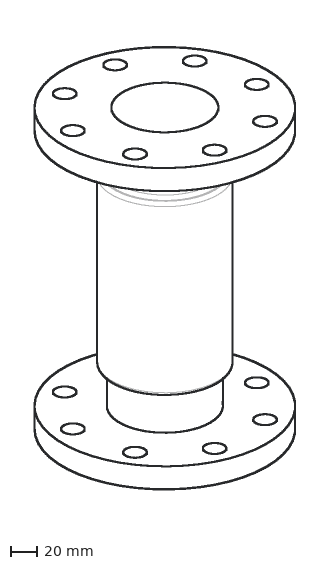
import cadquery as cq
import math

length = 278.0
flange_diameter = 200.0
flange_thickness = 20.0
pipe_diameter = 89.0
bore_diameter = 82.0

sleeve_diameter = 104.0
sleeve_length = 167.0
sleeve_fillet = 3.0

bolt_count = 8
bolt_circle_diameter = 160.0
bolt_hole_diameter = 18.0


def cylinder(diameter, bottom, height):
    """Solid cylinder on the Z axis, starting at the given height."""
    return cq.Workplane("XY").workplane(offset=bottom).circle(diameter / 2).extrude(height)


def sleeved_pipe():
    """Pipe with a sleeve whose shoulders have rounded rims and rounded roots."""
    pipe_radius = pipe_diameter / 2
    sleeve_radius = sleeve_diameter / 2
    half_pipe = length / 2
    half_sleeve = sleeve_length / 2
    root_height = half_sleeve + sleeve_fillet
    rim_height = half_sleeve - sleeve_fillet
    root_radius = pipe_radius + sleeve_fillet
    rim_radius = sleeve_radius - sleeve_fillet

    inset = sleeve_fillet * (1 - math.sqrt(0.5))
    root_middle = (pipe_radius + inset, half_sleeve + inset)
    rim_middle = (sleeve_radius - inset, half_sleeve - inset)

    def below(point):
        return (point[0], -point[1])

    return (
        cq.Workplane("XZ")
        .moveTo(0, half_pipe)
        .lineTo(pipe_radius, half_pipe)
        .lineTo(pipe_radius, root_height)
        .threePointArc(root_middle, (root_radius, half_sleeve))
        .lineTo(rim_radius, half_sleeve)
        .threePointArc(rim_middle, (sleeve_radius, rim_height))
        .lineTo(sleeve_radius, -rim_height)
        .threePointArc(below(rim_middle), (rim_radius, -half_sleeve))
        .lineTo(root_radius, -half_sleeve)
        .threePointArc(below(root_middle), (pipe_radius, -root_height))
        .lineTo(pipe_radius, -half_pipe)
        .lineTo(0, -half_pipe)
        .close()
        .revolve(360, (0, 0, 0), (0, 1, 0))
    )


def bolt_holes():
    """Cutters for the bolt holes, running through both flanges."""
    half_pitch = 180 / bolt_count
    return (
        cq.Workplane("XY")
        .workplane(offset=-length / 2)
        .polarArray(bolt_circle_diameter / 2, half_pitch, 360, bolt_count)
        .circle(bolt_hole_diameter / 2)
        .extrude(length)
    )


bottom_flange = cylinder(flange_diameter, -length / 2, flange_thickness)
top_flange = cylinder(flange_diameter, length / 2 - flange_thickness, flange_thickness)
bore = cylinder(bore_diameter, -length / 2, length)

result = sleeved_pipe().union(bottom_flange).union(top_flange).cut(bore).cut(bolt_holes())